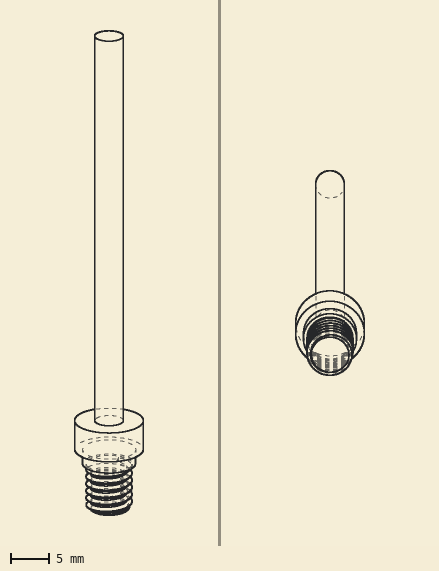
import cadquery as cq
import math

total_length = 66.0

thread_diameter = 6.0
thread_length = 6.3
thread_pitch = 1.0
thread_depth = 0.6
root_flat = 0.23
flank_angle = 30.0
tip_chamfer = 0.5
groove_top = 5.6
groove_turns = 7
groove_end_angle = 90
seam_angle = 100

shoulder_diameter = 6.9
shoulder_height = 2.0
collar_diameter = 9.0
collar_height = 4.0
rod_diameter = 3.75

cutter_overlap = 0.03

collar_base = thread_length + shoulder_height
rod_base = collar_base + collar_height
rod_length = total_length - rod_base
thread_radius = thread_diameter / 2


def cylinder(diameter, height, base):
    return cq.Workplane("XY").workplane(offset=base).circle(diameter / 2).extrude(height)


def thread_groove():
    """Right-handed V groove that ends on the +Y side at groove_top."""
    groove_height = groove_turns * thread_pitch
    root_radius = thread_radius - thread_depth
    mouth_radius = thread_radius + cutter_overlap
    root_half = root_flat / 2
    mouth_half = root_half + (mouth_radius - root_radius) * math.tan(math.radians(flank_angle))
    path = cq.Workplane(cq.Wire.makeHelix(thread_pitch, groove_height, root_radius))
    groove = (
        cq.Workplane("XZ")
        .moveTo(root_radius, -root_half)
        .lineTo(mouth_radius, -mouth_half)
        .lineTo(mouth_radius, mouth_half)
        .lineTo(root_radius, root_half)
        .close()
        .sweep(path, isFrenet=True)
    )
    groove = groove.rotate((0, 0, 0), (0, 0, 1), groove_end_angle)
    return groove.translate((0, 0, groove_top - groove_height))


def threaded_end():
    stud = cylinder(thread_diameter, thread_length, 0).faces("<Z").chamfer(tip_chamfer)
    stud = stud.rotate((0, 0, 0), (0, 0, 1), seam_angle)
    return stud.cut(thread_groove())


result = (
    threaded_end()
    .union(cylinder(shoulder_diameter, shoulder_height, thread_length))
    .union(cylinder(collar_diameter, collar_height, collar_base))
    .union(cylinder(rod_diameter, rod_length, rod_base))
)